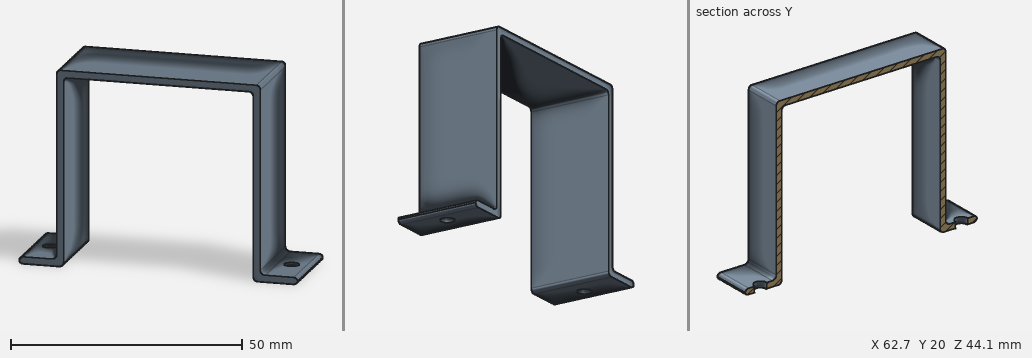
import cadquery as cq

sheet = 1.6
depth = 20.0
height = 44.1
inner_width = 42.6
foot_length = 8.45
tip_radius = 1.0
top_bend_radius = 0.95
foot_bend_radius = 1.05
hole_diameter = 3.2

inner_half = inner_width / 2
outer_half = inner_half + sheet
tip_half = outer_half + foot_length
hole_x = outer_half + foot_length / 2


def rounded_tip_offset():
    """Distance the foot tip recedes where its two edge arcs meet at mid-thickness."""
    rise = sheet / 2 - (sheet - tip_radius)
    return tip_radius - (tip_radius**2 - rise**2) ** 0.5


def box(half_width, bottom, top):
    """Box centred on X and Y, between two heights."""
    return (
        cq.Workplane("XY")
        .workplane(offset=bottom)
        .rect(2 * half_width, depth)
        .extrude(top - bottom)
    )


def make_foot_strip():
    """Full-width base strip whose ends taper to two meeting edge arcs."""
    tip = tip_half - rounded_tip_offset()
    flat = tip_half - tip_radius
    middle = sheet / 2
    return (
        cq.Workplane("XZ")
        .moveTo(-flat, 0)
        .lineTo(flat, 0)
        .radiusArc((tip, middle), -tip_radius)
        .radiusArc((flat, sheet), -tip_radius)
        .lineTo(-flat, sheet)
        .radiusArc((-tip, middle), -tip_radius)
        .radiusArc((-flat, 0), -tip_radius)
        .close()
        .extrude(depth / 2, both=True)
    )


def round_bends(body):
    """Round the inner and outer edges of the four bends."""
    bends = (
        (outer_half, height, top_bend_radius),
        (inner_half, height - sheet, top_bend_radius),
        (outer_half, sheet, foot_bend_radius),
        (inner_half, 0, foot_bend_radius),
    )
    for bend_x, bend_z, radius in bends:
        for side in (-1, 1):
            edge = cq.selectors.NearestToPointSelector((side * bend_x, 0, bend_z))
            body = body.edges("|Y").edges(edge).fillet(radius)
    return body


def drill_feet(body):
    """Drill one through hole at the middle of each foot."""
    holes = (
        cq.Workplane("XY")
        .pushPoints([(-hole_x, 0), (hole_x, 0)])
        .circle(hole_diameter / 2)
        .extrude(sheet)
    )
    return body.cut(holes)


channel = make_foot_strip().union(box(outer_half, 0, height))
bracket = channel.cut(box(inner_half, 0, height - sheet))
result = drill_feet(round_bends(bracket))